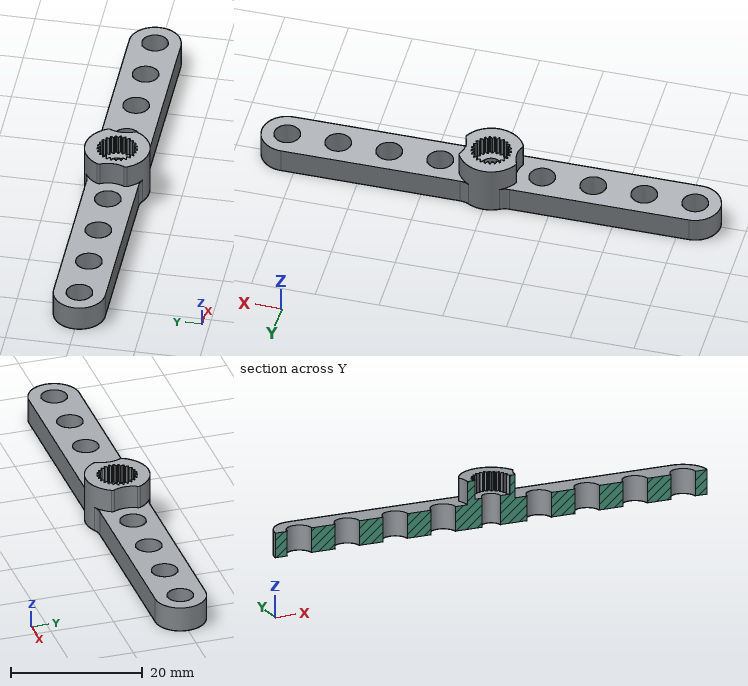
import cadquery as cq
import math

arm_length = 72.0
hole_positions = 9
arm_thickness = 4.0
arm_hole_diameter = 4.0
hub_diameter = 10.0
hub_height = 7.8
hub_blend_radius = 3.0
scallop_tip_radius = 0.5
screw_hole_diameter = 3.0
spline_teeth = 25
spline_root_diameter = 6.1
spline_tip_diameter = 5.3
spline_flat_share = 0.2
spline_depth = 3.0

hole_pitch = arm_length / hole_positions
holes_per_side = hole_positions // 2
arm_width = hole_pitch
hub_radius = hub_diameter / 2
scallop_radius = hole_pitch / 2


def cylinder(radius, height, centres=((0, 0),)):
    """Upright cylinders standing on the base plane."""
    return cq.Workplane("XY").pushPoints(centres).circle(radius).extrude(height)


def polar_point(radius, angle):
    return (radius * math.cos(angle), radius * math.sin(angle))


def arm():
    """Flat bar with full-round ends."""
    return cq.Workplane("XY").slot2D(arm_length, arm_width).extrude(arm_thickness)


def scalloped_hub():
    """Hub with a scallop around each neighbouring arm hole and rounded scallop tips."""
    scallop_centres = [(-hole_pitch, 0), (hole_pitch, 0)]
    scallops = cylinder(scallop_radius, hub_height, scallop_centres)
    hub = cylinder(hub_radius, hub_height).cut(scallops)

    tip_x = (hub_radius**2 - scallop_radius**2 + hole_pitch**2) / (2 * hole_pitch)
    tip_y = math.sqrt(hub_radius**2 - tip_x**2)
    for x in (-tip_x, tip_x):
        for y in (-tip_y, tip_y):
            tip_edge = cq.selectors.NearestToPointSelector((x, y, hub_height / 2))
            hub = hub.edges("|Z").edges(tip_edge).fillet(scallop_tip_radius)
    return hub


def hub_blends():
    """Four corner pieces that run the hub tangentially into the arm sides."""
    centre_y = arm_width / 2 + hub_blend_radius
    centre_distance = hub_radius + hub_blend_radius
    centre_x = math.sqrt(centre_distance**2 - centre_y**2)

    triangle = [(0, 0), (centre_x, centre_y), (centre_x, 0)]
    wedge = cq.Workplane("XY").polyline(triangle).close().extrude(arm_thickness)
    blend = wedge.cut(cylinder(hub_blend_radius, arm_thickness, [(centre_x, centre_y)]))
    pair = blend.union(blend.mirror("YZ"))
    return pair.union(pair.mirror("XZ"))


def arm_holes():
    """Through holes along the arm on both sides of the hub."""
    offsets = [step * hole_pitch for step in range(1, holes_per_side + 1)]
    centres = [(side * offset, 0) for side in (-1, 1) for offset in offsets]
    return cylinder(arm_hole_diameter / 2, arm_thickness, centres)


def spline_socket():
    """Toothed socket going down from the top of the hub."""
    root_radius = spline_root_diameter / 2
    tip_radius = spline_tip_diameter / 2
    tooth_angle = 2 * math.pi / spline_teeth
    flat_half_angle = tooth_angle * spline_flat_share / 2
    points = []
    for tooth in range(spline_teeth):
        root_angle = tooth * tooth_angle
        tip_angle = root_angle + tooth_angle / 2
        points += [
            polar_point(root_radius, root_angle - flat_half_angle),
            polar_point(root_radius, root_angle + flat_half_angle),
            polar_point(tip_radius, tip_angle - flat_half_angle),
            polar_point(tip_radius, tip_angle + flat_half_angle),
        ]
    socket_plane = cq.Workplane("XY", origin=(0, 0, hub_height))
    return socket_plane.polyline(points).close().extrude(-spline_depth)


body = arm().union(cylinder(hub_radius, arm_thickness)).union(hub_blends()).union(scalloped_hub())
screw_hole = cylinder(screw_hole_diameter / 2, hub_height)
result = body.cut(arm_holes()).cut(spline_socket()).cut(screw_hole)